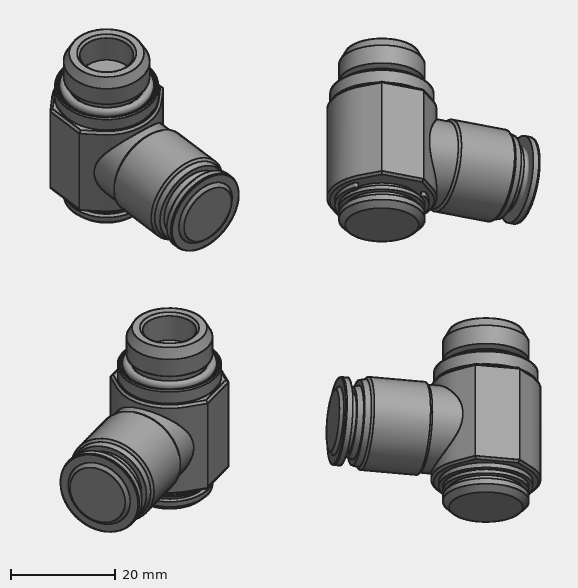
import cadquery as cq
import math


overall_length = 40.5
block_width = 21.0
block_radius = block_width / 2
block_half_height = 10.0
block_chamfer = 0.5

stem_top = 21.2
thread_radius = 8.25
tip_radius = 7.15
tip_length = 2.02
thread_bottom = 15.3
neck_radius = 7.25
neck_top = 14.7
bore_radius = 5.15
bore_depth = 6.0
bore_chamfer = 0.53

collar_radius = 9.95
collar_top = 13.15
collar_chamfer = 0.3
seat_radius = 9.4
seat_depth = 0.9
ring_tube_diameter = 1.82
ring_center_radius = 8.15

stem_bottom = -15.3
rim_top = -11.0
groove_top = -11.85
groove_bottom = -12.95
end_chamfer = 1.2

clip_outer_radius = 9.05
clip_width = 0.97
clip_open_angle = 263.7
clip_half_opening = 52.1

port_neck_radius = 8.5
port_radius = 9.0
port_start = 12.3
port_bevel = port_radius - port_neck_radius
port_end = 23.8
cap_bevel_end = 24.3
cap_step = 25.5
cap_radius = 8.22
cap_nose_large_radius = 7.15
cap_nose_small_radius = 6.8
cap_end = 26.7

sleeve_neck_radius = 6.0
flange_radius = 8.5
flange_start = 27.9
flange_edge_start = 29.05
flange_end = 29.32
flange_edge_drop = 0.12
neck_fillet = 0.45
nose_large_radius = 6.7
nose_small_radius = 5.95
sleeve_end = overall_length - block_radius
slot_width = 1.25
slot_depth = 0.15
slot_angle = 48.0


def make_block():
    """Octagon with flats toward +-Y, rounded by a tangent arc toward +-X."""
    half_side_angle = math.radians(360 / 8 / 2)
    corner_x = block_radius * math.tan(half_side_angle)
    tangent = block_radius * math.sqrt(0.5)
    return (
        cq.Workplane("XY")
        .workplane(offset=-block_half_height)
        .moveTo(-corner_x, block_radius)
        .lineTo(corner_x, block_radius)
        .lineTo(tangent, tangent)
        .threePointArc((block_radius, 0), (tangent, -tangent))
        .lineTo(corner_x, -block_radius)
        .lineTo(-corner_x, -block_radius)
        .lineTo(-tangent, -tangent)
        .threePointArc((-block_radius, 0), (-tangent, tangent))
        .close()
        .extrude(2 * block_half_height)
        .faces("<Z or >Z")
        .chamfer(block_chamfer)
    )


def make_stem():
    """Turned stem through the block, with the collar, the O-ring seat and the top bore."""
    bore_bottom = stem_top - bore_depth
    profile = [
        (0, stem_bottom),
        (thread_radius - end_chamfer, stem_bottom),
        (thread_radius, stem_bottom + end_chamfer),
        (thread_radius, groove_bottom),
        (neck_radius, groove_bottom),
        (neck_radius, groove_top),
        (thread_radius, groove_top),
        (thread_radius, rim_top),
        (neck_radius, rim_top),
        (neck_radius, block_half_height),
        (collar_radius - collar_chamfer, block_half_height),
        (collar_radius, block_half_height + collar_chamfer),
        (collar_radius, collar_top - collar_chamfer),
        (collar_radius - collar_chamfer, collar_top),
        (seat_radius, collar_top),
        (seat_radius, collar_top - seat_depth),
        (neck_radius, collar_top - seat_depth),
        (neck_radius, neck_top),
        (thread_radius, thread_bottom),
        (thread_radius, stem_top - tip_length),
        (tip_radius, stem_top),
        (bore_radius + bore_chamfer, stem_top),
        (bore_radius, stem_top - bore_chamfer),
        (bore_radius, bore_bottom),
        (0, bore_bottom),
    ]
    return cq.Workplane("XZ").polyline(profile).close().revolve(360, (0, 0), (0, 1))


def make_o_ring():
    """O-ring half sunk in its seat and tight on the stem neck."""
    return (
        cq.Workplane("XZ")
        .center(ring_center_radius, collar_top)
        .circle(ring_tube_diameter / 2)
        .revolve(360, (-ring_center_radius, 0), (-ring_center_radius, 1))
    )


def make_snap_ring():
    """C-shaped ring with round ends, held between the block and the lower rim."""
    end_radius = clip_width / 2
    center_radius = clip_outer_radius - end_radius
    inner_radius = clip_outer_radius - clip_width
    height = -block_half_height - rim_top
    start = math.radians(clip_open_angle + clip_half_opening)
    end = math.radians(clip_open_angle - clip_half_opening + 360)
    middle = (start + end) / 2

    def polar(radius, angle):
        return (radius * math.cos(angle), radius * math.sin(angle))

    plane = cq.Workplane("XY").workplane(offset=rim_top)
    ring = (
        plane.moveTo(*polar(clip_outer_radius, start))
        .threePointArc(polar(clip_outer_radius, middle), polar(clip_outer_radius, end))
        .lineTo(*polar(inner_radius, end))
        .threePointArc(polar(inner_radius, middle), polar(inner_radius, start))
        .close()
        .extrude(height)
    )
    ends = (
        plane.pushPoints([polar(center_radius, start), polar(center_radius, end)])
        .circle(end_radius)
        .extrude(height)
    )
    return ring.union(ends)


def make_port():
    """Turned side port along +X, with a stepped and tapered cap."""
    profile = [
        (0, 0),
        (0, port_neck_radius),
        (port_start, port_neck_radius),
        (port_start + port_bevel, port_radius),
        (port_end, port_radius),
        (cap_bevel_end, port_neck_radius),
        (cap_step, cap_radius),
        (cap_step, cap_nose_large_radius),
        (cap_end, cap_nose_small_radius),
        (cap_end, 0),
    ]
    return cq.Workplane("XZ").polyline(profile).close().revolve(360, (0, 0), (1, 0))


def make_sleeve():
    """Release sleeve: neck against the cap, push flange, tapered nose and a cross slot."""
    fillet_start = flange_start - neck_fillet
    fillet_middle = (
        fillet_start + neck_fillet * math.sqrt(0.5),
        sleeve_neck_radius + neck_fillet * (1 - math.sqrt(0.5)),
    )
    sleeve = (
        cq.Workplane("XZ")
        .moveTo(cap_end, 0)
        .lineTo(cap_end, sleeve_neck_radius)
        .lineTo(fillet_start, sleeve_neck_radius)
        .threePointArc(fillet_middle, (flange_start, sleeve_neck_radius + neck_fillet))
        .lineTo(flange_start, flange_radius)
        .lineTo(flange_edge_start, flange_radius)
        .lineTo(flange_end, flange_radius - flange_edge_drop)
        .lineTo(flange_end, nose_large_radius)
        .lineTo(sleeve_end, nose_small_radius)
        .lineTo(sleeve_end, 0)
        .close()
        .revolve(360, (0, 0), (1, 0))
    )
    slot = (
        cq.Workplane("XY")
        .box(slot_depth, 2 * flange_radius, slot_width, centered=(False, True, True))
        .rotate((0, 0, 0), (1, 0, 0), slot_angle)
        .translate((cap_end, 0, 0))
    )
    return sleeve.cut(slot)


fitting = (
    make_block()
    .union(make_port())
    .union(make_stem())
    .union(make_o_ring())
    .union(make_snap_ring())
)
release_sleeve = make_sleeve()

result = cq.Compound.makeCompound([fitting.solids().val(), release_sleeve.solids().val()])